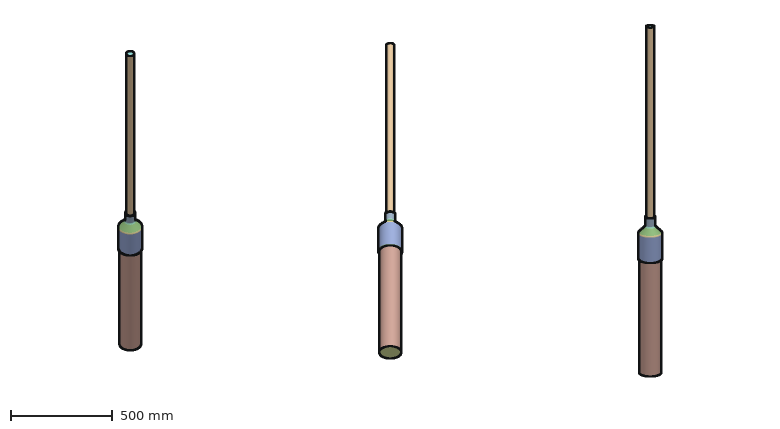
import cadquery as cq

total_height = 1818.0
rod_length = 1000.0
neck_length = 50.0
lower_tube_length = 596.0

rod_diameter = 40.0
neck_diameter = 51.0
body_diameter = 120.0
lower_tube_diameter = 110.0

cone_fillet = 11.0
rim_fillet = 4.5

cone_height = (body_diameter - neck_diameter) / 2
neck_top = total_height - rod_length
cone_top = neck_top - neck_length
cone_base = cone_top - cone_height


def cylinder(diameter, bottom, top):
    """Vertical cylinder on the Z axis between two levels."""
    return cq.Workplane("XY").workplane(offset=bottom).circle(diameter / 2).extrude(top - bottom)


def housing():
    """Turned body with a conical shoulder and a neck, rounded where the sections meet."""
    body_radius = body_diameter / 2
    neck_radius = neck_diameter / 2
    turned = (
        cq.Workplane("XZ")
        .moveTo(0, lower_tube_length)
        .lineTo(body_radius, lower_tube_length)
        .lineTo(body_radius, cone_base)
        .lineTo(neck_radius, cone_top)
        .lineTo(neck_radius, neck_top)
        .lineTo(0, neck_top)
        .close()
        .revolve(360, (0, 0, 0), (0, 1, 0))
    )
    cone_edges = turned.faces("%CONE").edges("%CIRCLE")
    return cone_edges.fillet(cone_fillet).faces("<Z").edges().fillet(rim_fillet)


lower_tube = cylinder(lower_tube_diameter, 0, lower_tube_length)
rod = cylinder(rod_diameter, neck_top, total_height)

result = lower_tube.union(housing()).union(rod)